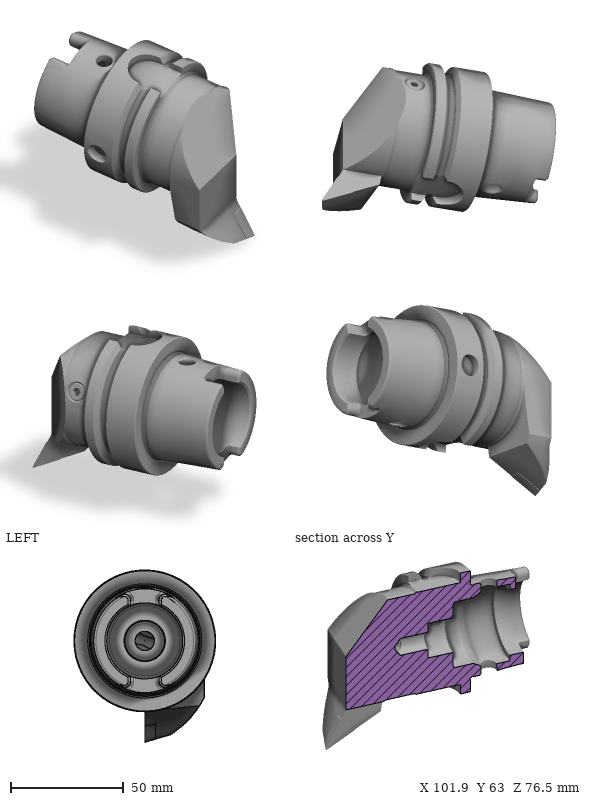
import cadquery as cq
import math


shank_length = 32.0
shank_root_radius = 24.2
shank_taper = 0.045
shank_end_fillet = 1.0
shank_end_radius = shank_root_radius - shank_taper * shank_length
relief_start = -2.1
relief_bottom_start = -1.4
relief_bottom_end = -0.8
relief_radius = 23.8
face_relief_depth = 0.3
face_relief_inner_radius = 24.7
face_relief_outer_radius = 25.4

bore_radius = 16.9
bore_mouth_chamfer = 0.8
clamping_groove_start = -19.1
clamping_groove_end = -6.3
clamping_groove_radius = 19.8
clamping_groove_run_out = 4.9
bore_floor = 8.2
bore_floor_fillet = 1.2
thread_radius = 8.9
thread_chamfer = 0.3
thread_floor = 20.4
coolant_bore_radius = 4.3
coolant_tip_length = coolant_bore_radius / math.sqrt(3)

slot_half_width = 6.3
slot_wall_height = 17.9
slot_blend_radius = 2.9
slot_land_tilt = 21.0
slot_floor_fillet = 1.4
slot_mouth_chamfer = 1.0
slot_depth_top = 9.9
slot_depth_bottom = 6.0

cross_hole_x = -9.1
cross_hole_radius = 3.7
cross_hole_chamfer = 0.6

flange_radius = 31.5
flange_front = -0.2
flange_back = 26.0
flange_front_chamfer = 0.3
flange_back_chamfer = 0.5
groove_center = 17.8
groove_mouth_width = 6.7
groove_bottom_width = 3.3
groove_radius = 27.5
groove_wall_radius = 28.5
groove_fillet = 0.5
keyway_width = 18.0
keyway_start = 4.9
keyway_flat = 26.5
chip_hole_x = 6.9
chip_hole_radius = 4.9
chip_hole_chamfer = 0.2
chip_hole_depth = 4.6

neck_radius = 26.0
neck_chamfer = 0.9
neck_end = 41.1

head_radius = 26.5
head_start = 42.0
head_end = 60.2
end_face_angle = 6.0
side_face_angle = 50.0
top_face_height = 1.3
top_face_normal = (0.77, -0.11, 0.63)
overhang_back = 42.3
overhang_back_normal = (-1.0, -0.09, -0.15)
side_flat_bottom = -25.1
belly_middle = (-20.8, -33.6)
belly_end = (-12.9, -40.7)
belly_run_out = (0.0, -49.9)
flank_corner_radius = 5.5
holder_setback = 0.25

nose_end_x = 69.9
nose_end_z = -45.0
nose_radius = 0.4
insert_side_radius = 1.2
insert_edge = 16.6
insert_thickness = 4.8
insert_angle = 35.0
clearance_angle = 7.0
trailing_edge_angle = 27.3
leading_edge_angle = trailing_edge_angle + insert_angle
wedge_bisector = math.radians(trailing_edge_angle + insert_angle / 2)
wedge_half_angle = math.radians(insert_angle / 2)
nose_center_x = nose_end_x - nose_radius
nose_center_z = nose_end_z + nose_radius
clearance_slope = math.tan(math.radians(clearance_angle))

plug_x = 33.9
plug_angle = 20.0
plug_direction = (0, math.cos(math.radians(plug_angle)), math.sin(math.radians(plug_angle)))
plug_face_distance = 25.5
plug_radius = 4.0
plug_length = 8.2
plug_chamfer = 0.4
plug_seat_chamfer = 0.7
hex_across_flats = 3.5
hex_depth = 3.1
cross_coolant_radius = 2.4
cross_coolant_overrun = 5.1

arc_middle = 1 - math.sqrt(0.5)
beyond_part = 203.8


def half_space(point, normal):
    """Large block on the side of normal of the plane through point."""
    plane = cq.Plane(origin=point, normal=normal)
    return cq.Workplane(plane).rect(beyond_part, beyond_part).extrude(beyond_part)


def turned(outline):
    """Solid of revolution about X of a closed outline of X and radius."""
    return outline.close().revolve(360, (0, 0, 0), (1, 0, 0))


def radial_plane(x, direction, distance):
    """Plane square to a radial direction, at a distance from the spindle axis."""
    origin = cq.Vector(x, 0, 0) + cq.Vector(*direction) * distance
    return cq.Plane(origin=origin, xDir=(1, 0, 0), normal=direction)


def countersunk_hole(plane, radius, chamfer, depth, clear_above):
    """Hole below plane with a 45 degree mouth, which also clears the room above plane."""
    section_plane = cq.Plane(origin=plane.origin, xDir=plane.xDir, normal=plane.yDir * -1)
    section = cq.Workplane(section_plane).polyline([
        (0, -depth),
        (radius, -depth),
        (radius, -chamfer),
        (radius + chamfer, 0),
        (radius + chamfer, clear_above),
        (0, clear_above),
    ])
    return section.close().revolve(360, (0, 0), (0, 1))



def turned_body():
    groove_front = groove_center - groove_mouth_width / 2
    groove_back = groove_center + groove_mouth_width / 2
    bottom_front = groove_center - groove_bottom_width / 2
    bottom_back = groove_center + groove_bottom_width / 2
    end_fillet_middle = shank_end_fillet * arc_middle
    groove_fillet_middle = groove_fillet * arc_middle
    shank_and_flange_front = [
        (relief_start, shank_root_radius),
        (relief_bottom_start, relief_radius),
        (relief_bottom_end, relief_radius),
        (flange_front + face_relief_depth, face_relief_inner_radius),
        (flange_front, face_relief_outer_radius),
        (flange_front, flange_radius - flange_front_chamfer),
        (flange_front + flange_front_chamfer, flange_radius),
        (groove_front, flange_radius),
        (bottom_front, groove_wall_radius),
        (bottom_front, groove_radius + groove_fillet),
    ]
    flange_back_and_neck = [
        (bottom_back, groove_wall_radius),
        (groove_back, flange_radius),
        (flange_back - flange_back_chamfer, flange_radius),
        (flange_back, flange_radius - flange_back_chamfer),
        (flange_back, neck_radius + neck_chamfer),
        (flange_back + neck_chamfer, neck_radius),
        (neck_end, neck_radius),
        (head_start, head_radius),
        (head_end, head_radius),
        (head_end, 0),
    ]
    outline = (
        cq.Workplane("XY")
        .moveTo(-shank_length, 0)
        .lineTo(-shank_length, shank_end_radius - shank_end_fillet)
        .threePointArc(
            (-shank_length + end_fillet_middle, shank_end_radius - end_fillet_middle),
            (-shank_length + shank_end_fillet, shank_end_radius),
        )
        .polyline(shank_and_flange_front, includeCurrent=True)
        .threePointArc(
            (bottom_front + groove_fillet_middle, groove_radius + groove_fillet_middle),
            (bottom_front + groove_fillet, groove_radius),
        )
        .lineTo(bottom_back - groove_fillet, groove_radius)
        .threePointArc(
            (bottom_back - groove_fillet_middle, groove_radius + groove_fillet_middle),
            (bottom_back, groove_radius + groove_fillet),
        )
        .polyline(flange_back_and_neck, includeCurrent=True)
    )
    return turned(outline)


def bore():
    fillet_middle = bore_floor_fillet * arc_middle
    outline = (
        cq.Workplane("XY")
        .moveTo(-shank_length, 0)
        .lineTo(-shank_length, bore_radius + bore_mouth_chamfer)
        .lineTo(-shank_length + bore_mouth_chamfer, bore_radius)
        .lineTo(clamping_groove_start, bore_radius)
        .lineTo(clamping_groove_start, clamping_groove_radius)
        .lineTo(clamping_groove_end, clamping_groove_radius)
        .lineTo(clamping_groove_end + clamping_groove_run_out, bore_radius)
        .lineTo(bore_floor - bore_floor_fillet, bore_radius)
        .threePointArc(
            (bore_floor - fillet_middle, bore_radius - fillet_middle),
            (bore_floor, bore_radius - bore_floor_fillet),
        )
        .lineTo(bore_floor, thread_radius + thread_chamfer)
        .lineTo(bore_floor + thread_chamfer, thread_radius)
        .lineTo(thread_floor, thread_radius)
        .lineTo(thread_floor, coolant_bore_radius)
        .lineTo(plug_x, coolant_bore_radius)
        .lineTo(plug_x + coolant_tip_length, 0)
    )
    return turned(outline)


def slot_section(x, growth):
    """Section of a driving slot with every wall moved into the shank by growth."""
    center_y = slot_half_width + slot_blend_radius
    radius = slot_blend_radius - growth
    wall = center_y - radius
    tilt = math.radians(slot_land_tilt)
    outer = flange_radius

    def on_blend(angle):
        return center_y + radius * math.sin(angle), slot_wall_height + radius * math.cos(angle)

    land_y, land_z = on_blend(tilt)
    middle_y, middle_z = on_blend((tilt - math.pi / 2) / 2)
    land_end = land_z - (outer - land_y) * math.tan(tilt)
    return (
        cq.Workplane("YZ", origin=(x, 0, 0))
        .moveTo(-wall, 0)
        .lineTo(-wall, slot_wall_height)
        .threePointArc((-middle_y, middle_z), (-land_y, land_z))
        .lineTo(-outer, land_end)
        .lineTo(-outer, outer)
        .lineTo(outer, outer)
        .lineTo(outer, land_end)
        .lineTo(land_y, land_z)
        .threePointArc((middle_y, middle_z), (wall, slot_wall_height))
        .lineTo(wall, 0)
        .close()
    )


def driving_slot(depth):
    """Slot on the +Z side of the shank end, with a rounded floor and a chamfered mouth."""
    slot = slot_section(-shank_length, 0).extrude(depth)
    slot = slot.faces(">X").edges().fillet(slot_floor_fillet)
    mouth_sections = [
        slot_section(-shank_length, slot_mouth_chamfer).wires().val(),
        slot_section(-shank_length + slot_mouth_chamfer, 0).wires().val(),
    ]
    return slot.union(cq.Workplane(cq.Solid.makeLoft(mouth_sections, True)))


def keyway():
    """Keyway on the +Z side of the flange, round at the front and open at the back."""
    radius = keyway_width / 2
    return (
        cq.Workplane("XY", origin=(0, 0, keyway_flat))
        .moveTo(flange_back, -radius)
        .lineTo(keyway_start + radius, -radius)
        .threePointArc((keyway_start, 0), (keyway_start + radius, radius))
        .lineTo(flange_back, radius)
        .close()
        .extrude(flange_radius - keyway_flat)
    )


def cross_hole(turn):
    """Half of the hole across the shank, from the axis out to the +Z or -Z side."""
    surface = shank_root_radius + shank_taper * cross_hole_x
    plane = radial_plane(cross_hole_x, (0, 0, 1), surface)
    hole = countersunk_hole(plane, cross_hole_radius, cross_hole_chamfer, surface, cross_hole_chamfer)
    return hole.rotate((0, 0, 0), (1, 0, 0), turn)


def chip_hole():
    plane = radial_plane(chip_hole_x, (0, -1, 0), flange_radius)
    return countersunk_hole(plane, chip_hole_radius, chip_hole_chamfer, chip_hole_depth, chip_hole_chamfer)


def plug_hole():
    """Seat of the coolant plug and the narrower bore from it across the axis."""
    plane = radial_plane(plug_x, plug_direction, plug_face_distance)
    room = head_radius - plug_face_distance
    seat = countersunk_hole(plane, plug_radius, plug_seat_chamfer, plug_length, room)
    depth = plug_face_distance + cross_coolant_overrun
    return seat.union(cq.Workplane(plane).circle(cross_coolant_radius).extrude(-depth))


def sharp_tip(nose_center_to_edge):
    """X and Z where two lines meet which pass the nose center at the given distance outside it."""
    reach = nose_center_to_edge / math.sin(wedge_half_angle)
    x = nose_center_x + reach * math.cos(wedge_bisector)
    z = nose_center_z - reach * math.sin(wedge_bisector)
    return x, z


def beyond_flank(edge_angle, side):
    """Space beyond a flank of the holder: side -1 is the trailing flank, 1 the leading one."""
    x, z = sharp_tip(nose_radius - holder_setback)
    angle = math.radians(edge_angle)
    normal = (side * math.sin(angle), -clearance_slope, side * math.cos(angle))
    return half_space((x, 0, z), normal)


def overhang():
    """Part of the head at Y < 0 which reaches down to the tip and carries the insert."""
    block = (
        cq.Workplane("YZ", origin=(head_start, 0, 0))
        .lineTo(-head_radius, 0)
        .lineTo(-head_radius, side_flat_bottom)
        .threePointArc(belly_middle, belly_end)
        .lineTo(*belly_run_out)
        .close()
        .extrude(nose_end_x - head_start)
    )
    block = block.cut(beyond_flank(trailing_edge_angle, -1))
    return block.cut(half_space((overhang_back, 0, side_flat_bottom), overhang_back_normal))


def beyond_end():
    """Space beyond the end face of the head and the leading flank, rounded where they meet."""
    angle = math.radians(end_face_angle)
    beyond_face = half_space((head_end, 0, 0), (math.cos(angle), -math.sin(angle), 0))
    space = beyond_face.intersect(beyond_flank(leading_edge_angle, 1))
    corner = cq.selectors.NearestToPointSelector((head_end, 0, side_flat_bottom))
    return space.edges(corner).fillet(flank_corner_radius)


def beyond_side_face():
    angle = math.radians(side_face_angle)
    return half_space((head_end, 0, 0), (math.sin(angle), math.cos(angle), 0))


def make_holder():
    holder = turned_body().cut(beyond_side_face())
    holder = holder.union(overhang()).cut(beyond_end())
    holder = holder.cut(half_space((head_end, 0, top_face_height), top_face_normal))
    holder = holder.cut(bore()).cut(chip_hole()).cut(plug_hole())
    for turn, slot_depth in ((0, slot_depth_top), (180, slot_depth_bottom)):
        holder = holder.cut(driving_slot(slot_depth).rotate((0, 0, 0), (1, 0, 0), turn))
        holder = holder.cut(keyway().rotate((0, 0, 0), (1, 0, 0), turn))
        holder = holder.cut(cross_hole(turn))
    return holder



def make_insert():
    """Rhombus which tapers away from the cutting face, with rounded corners."""
    tip_x, tip_z = sharp_tip(nose_radius)
    lead = math.radians(leading_edge_angle)
    trail = math.radians(trailing_edge_angle)
    lead_x, lead_z = -insert_edge * math.cos(lead), insert_edge * math.sin(lead)
    trail_x, trail_z = -insert_edge * math.cos(trail), insert_edge * math.sin(trail)
    blank = (
        cq.Workplane("XZ")
        .moveTo(tip_x, tip_z)
        .line(lead_x, lead_z)
        .line(trail_x, trail_z)
        .line(-lead_x, -lead_z)
        .close()
        .extrude(insert_thickness, taper=clearance_angle)
    )
    blunt = blank.edges("not #Y").edges("not (<Z or >Z)").fillet(insert_side_radius)
    return blunt.edges("not #Y").edges("<Z or >Z").fillet(nose_radius)



def make_plug():
    plane = radial_plane(plug_x, plug_direction, plug_face_distance)
    plug = cq.Workplane(plane).circle(plug_radius).extrude(-plug_length)
    outer_face = cq.selectors.NearestToPointSelector(plane.origin.toTuple())
    plug = plug.faces(outer_face).edges().chamfer(plug_chamfer)
    hex_across_corners = hex_across_flats / math.cos(math.pi / 6)
    return plug.cut(cq.Workplane(plane).polygon(6, hex_across_corners).extrude(-hex_depth))


insert = make_insert()
plug = make_plug()
holder = make_holder().cut(insert)

result = cq.Compound.makeCompound([holder.val(), insert.val(), plug.val()])